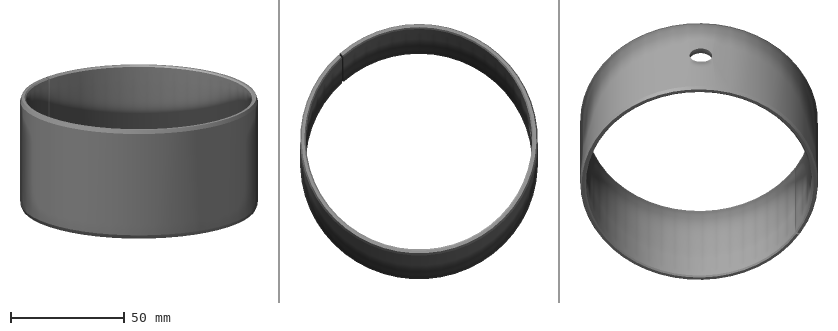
import cadquery as cq

outer_diameter = 105.0
wall = 2.5
height = 50.0
slit_angle = 1.0
hole_diameter = 10.0
slit_to_hole_angle = 120.0
hole_angle = 180.0 - slit_angle - slit_to_hole_angle
hole_height = height / 2
outer_chamfer_length = 1.7
outer_chamfer_depth = 0.6
inner_chamfer = 0.6

outer_radius = outer_diameter / 2
inner_radius = outer_radius - wall


def split_ring():
    """Revolve the chamfered wall section about Z, starting at -X and stopping short to leave the slit."""
    section = [
        (inner_radius + inner_chamfer, 0),
        (outer_radius - outer_chamfer_depth, 0),
        (outer_radius, outer_chamfer_length),
        (outer_radius, height - outer_chamfer_length),
        (outer_radius - outer_chamfer_depth, height),
        (inner_radius + inner_chamfer, height),
        (inner_radius, height - inner_chamfer),
        (inner_radius, inner_chamfer),
    ]
    return (
        cq.Workplane("XZ")
        .polyline(section)
        .close()
        .revolve(360 - slit_angle, (0, 0, 0), (0, -1, 0))
        .rotate((0, 0, 0), (0, 0, 1), 180 - slit_angle)
    )


def oil_hole():
    """Radial cylinder reaching from the axis out through one side of the wall."""
    return (
        cq.Workplane("YZ")
        .center(0, hole_height)
        .circle(hole_diameter / 2)
        .extrude(outer_diameter)
        .rotate((0, 0, 0), (0, 0, 1), hole_angle)
    )


result = split_ring().cut(oil_hole())